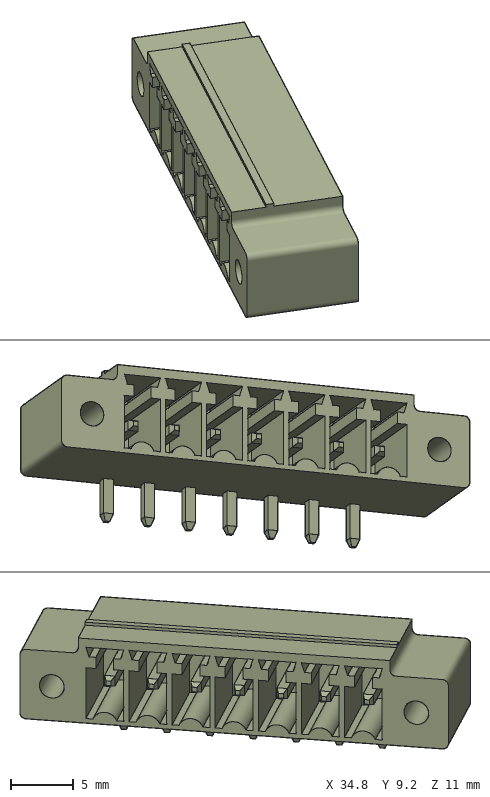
import cadquery as cq

length = 34.8
depth = 9.2
body_height = 7.25
flange_height = 5.95
raised_width = 25.3
corner_radius = 0.5

rib_height = 0.25
rib_width = 0.65
rib_front = 2.85

pole_count = 7
pitch = 3.5
cavity_depth = 7.2
cavity_width = 3.06
cavity_floor = 0.4
cavity_shoulder = 4.75
slot_width = 1.45
dovetail_bottom = 5.7
dovetail_top = 6.5
dovetail_narrow = 2.56
hump_radius = 1.05
hump_height = 0.65

pin_size = 0.85
pin_tip_size = 0.4
pin_taper = 0.6
pin_axis_z = 2.95
pin_tip_y = 1.5
tail_length = 3.45
tail_inset = 1.15
tail_y = depth - tail_inset

insert_x = 14.8
insert_z = pin_axis_z
insert_diameter = 4.0
insert_bore = 2.0
insert_depth = 7.2

column_x = [(i - (pole_count - 1) / 2) * pitch for i in range(pole_count)]


def front_plane():
    """Plane of the front face: local x is X, local y is Z, and the normal is -Y."""
    return cq.Workplane("XZ")


def make_housing():
    """Flanged bar with rounded ends, a raised middle and a rib on top."""
    bar = front_plane().rect(length, flange_height).extrude(-depth)
    bar = bar.edges("|Y").fillet(corner_radius).translate((0, 0, flange_height / 2))
    raised = cq.Workplane("XY").box(raised_width, depth, body_height, centered=(True, False, False))
    housing = bar.union(raised)
    for x in (-raised_width / 2, raised_width / 2):
        inner_corner = cq.selectors.NearestToPointSelector((x, depth / 2, flange_height))
        housing = housing.edges(inner_corner).fillet(corner_radius)
    rib = cq.Workplane("XY", origin=(0, rib_front, body_height)).box(
        raised_width, rib_width, rib_height, centered=(True, False, False)
    )
    return housing.union(rib)


def make_cavity(x):
    """Cavity with a dovetail coding slot above it and a rounded hump on its floor."""
    right_side = [
        (cavity_width / 2, cavity_floor),
        (cavity_width / 2, cavity_shoulder),
        (slot_width / 2, cavity_shoulder),
        (slot_width / 2, dovetail_bottom),
        (dovetail_narrow / 2, dovetail_bottom),
        (cavity_width / 2, dovetail_top),
    ]
    left_side = [(-px, pz) for px, pz in reversed(right_side)]
    cavity = front_plane().polyline(right_side + left_side).close().extrude(-cavity_depth)
    hump_center_z = cavity_floor + hump_height - hump_radius
    hump = front_plane().center(0, hump_center_z).circle(hump_radius).extrude(-cavity_depth)
    return cavity.cut(hump).translate((x, 0, 0))


def make_tapered_pin(pin_length):
    """Square pin along +Z whose end tapers to a small square."""
    shank = cq.Workplane("XY").rect(pin_size, pin_size).extrude(pin_length - pin_taper)
    tip = (
        cq.Workplane("XY", origin=(0, 0, pin_length - pin_taper))
        .rect(pin_size, pin_size)
        .workplane(offset=pin_taper)
        .rect(pin_tip_size, pin_tip_size)
        .loft(combine=False)
    )
    return shank.union(tip)


def make_contact(x):
    """Right-angle contact: a mating pin toward -Y and a solder tail toward -Z."""
    mating_pin = make_tapered_pin(tail_y - pin_tip_y)
    mating_pin = mating_pin.rotate((0, 0, 0), (1, 0, 0), 90).translate((x, tail_y, pin_axis_z))
    tail = make_tapered_pin(pin_axis_z + tail_length)
    tail = tail.rotate((0, 0, 0), (1, 0, 0), 180).translate((x, tail_y, pin_axis_z))
    return mating_pin.union(tail)


def make_insert(x):
    """Cylindrical insert, flush with the front face, with a blind bore."""
    ring = front_plane().center(x, insert_z).circle(insert_diameter / 2).circle(insert_bore / 2)
    return ring.extrude(-insert_depth)


result = make_housing()
for x in column_x:
    result = result.cut(make_cavity(x)).union(make_contact(x))

for x in (-insert_x, insert_x):
    seat = front_plane().center(x, insert_z).circle(insert_diameter / 2).extrude(-insert_depth)
    result = result.cut(seat, clean=False).union(make_insert(x), clean=False)